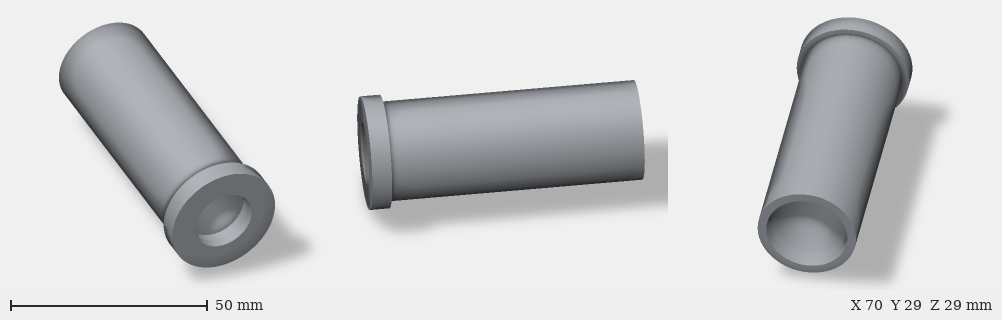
import cadquery as cq

total_length = 70.0
flange_diameter = 29.0
flange_thickness = 5.05
tube_diameter = 25.4
bore_diameter = 20.9
end_hole_diameter = 15.9

bore_depth = total_length - flange_thickness


def cylinder_along_x(diameter, start, length):
    """Solid cylinder on the X axis, running from start towards +X."""
    return cq.Workplane("YZ", origin=(start, 0, 0)).circle(diameter / 2).extrude(length)


tube = cylinder_along_x(tube_diameter, 0, total_length)
flange = cylinder_along_x(flange_diameter, bore_depth, flange_thickness)
bore = cylinder_along_x(bore_diameter, 0, bore_depth)
end_hole = cylinder_along_x(end_hole_diameter, 0, total_length)

result = tube.union(flange).cut(bore).cut(end_hole)